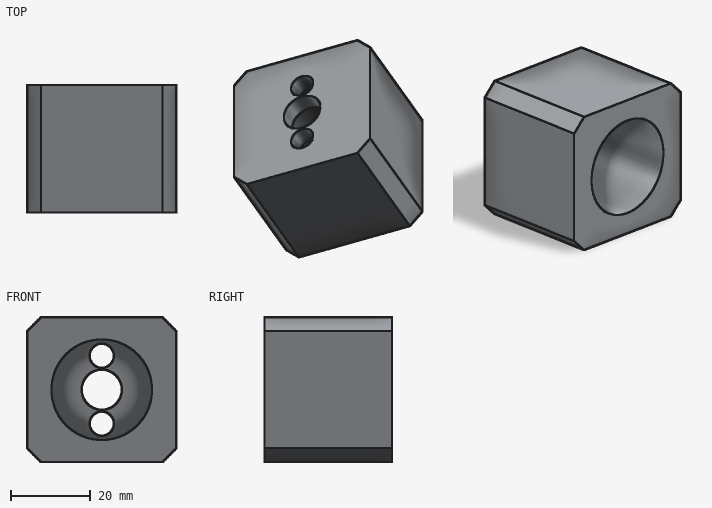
import cadquery as cq

width = 37.4
depth = 32.0
height = 36.3
edge_chamfer = 3.5

bore_diameter = 25.2
floor_thickness = 5.0
bore_depth = depth - floor_thickness

center_hole_diameter = 10.0
side_hole_diameter = 6.0
side_hole_offset = 8.5


def chamfered_block():
    """Block centred on the origin, its four edges along Y chamfered."""
    return cq.Workplane("XY").box(width, depth, height).edges("|Y").chamfer(edge_chamfer)


def cylinder_along_y(diameter, length, z=0.0):
    """Cylinder running from the -Y face of the block towards +Y."""
    front_face = cq.Workplane("XZ", origin=(0, -depth / 2, z))
    return front_face.circle(diameter / 2).extrude(-length)


result = chamfered_block()
result = result.cut(cylinder_along_y(bore_diameter, bore_depth))
result = result.cut(cylinder_along_y(center_hole_diameter, depth))
for side in (-1, 1):
    result = result.cut(cylinder_along_y(side_hole_diameter, depth, side * side_hole_offset))